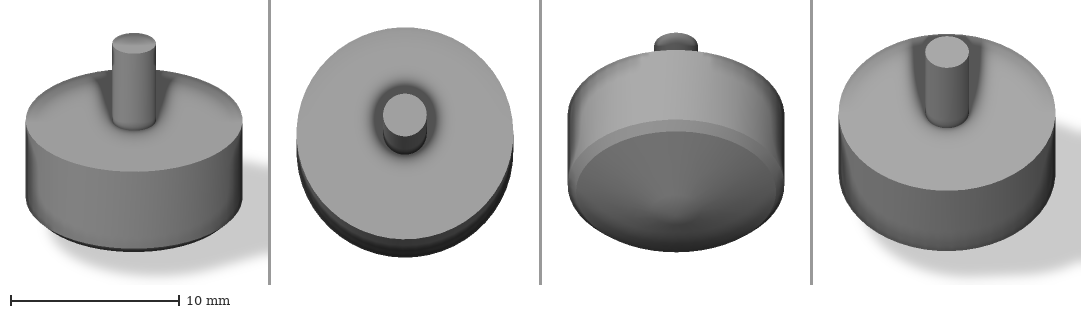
import cadquery as cq

body_diameter = 12.9
stem_diameter = 2.6
overall_height = 12.7
stem_length = 5.2
body_height = 5.2
chamfer = 0.5

body_radius = body_diameter / 2
stem_radius = stem_diameter / 2
cone_radius = body_radius - chamfer
shoulder_z = overall_height - stem_length
wall_bottom_z = shoulder_z - body_height
cone_top_z = wall_bottom_z - chamfer


def make_plunger():
    """Revolve the half profile, from the cone tip up to the stem end, around Z."""
    half_profile = (
        cq.Workplane("XZ")
        .moveTo(0, 0)
        .lineTo(cone_radius, cone_top_z)
        .lineTo(body_radius, wall_bottom_z)
        .lineTo(body_radius, shoulder_z)
        .lineTo(stem_radius, shoulder_z)
        .lineTo(stem_radius, overall_height)
        .lineTo(0, overall_height)
        .close()
    )
    return half_profile.revolve(360, (0, 0, 0), (0, 1, 0))


result = make_plunger()